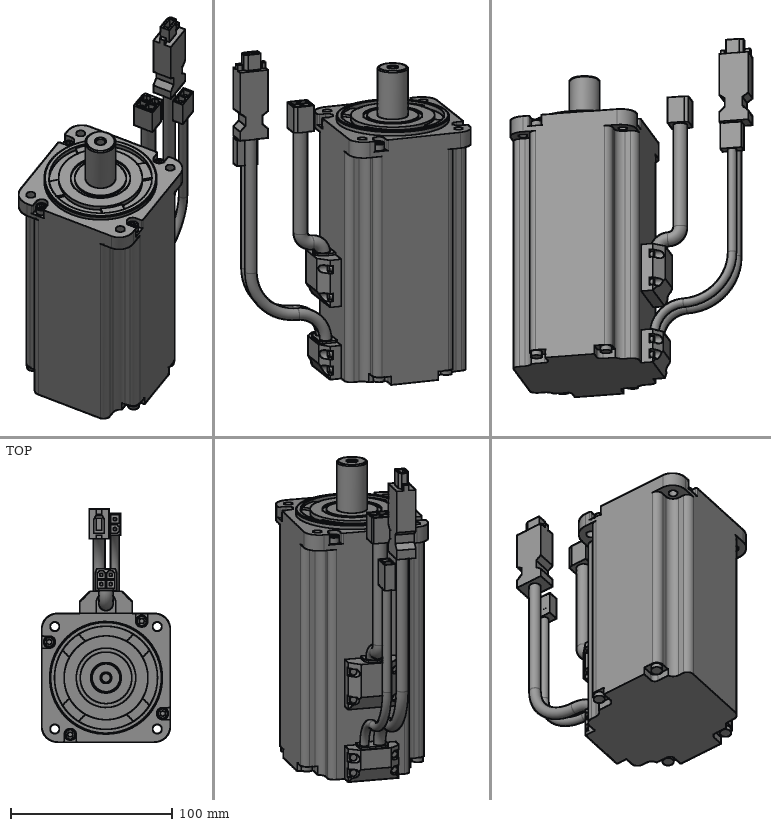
import cadquery as cq
import math

total_height = 213.5
side = 80.0
half = side / 2
flange_bottom = 149.0
flange_top = 159.3
flange_corner_radius = 10.0
mount_hole_offset = 31.8
mount_hole_diameter = 5.5

notch_wall = 26.5
notch_mouth_radius = 4.5
notch_root_radius = 5.5

pilot_diameter = 70.0
pilot_top = 162.3
pilot_chamfer = 0.6
groove_outer_diameter = 64.0
groove_inner_diameter = 52.0
bridge_drop = 1.5
bridge_width = 14.0
seal_outer_diameter = 37.0
seal_inner_diameter = 32.0
seal_depth = 1.0

shaft_diameter = 19.0
shaft_top = 193.5
shaft_chamfer = 0.9
shaft_hole_diameter = 5.5
shaft_hole_mouth_diameter = 7.0
shaft_hole_depth = 20.0

screw_head_diameter = 7.0
screw_head_height = 4.5
screw_head_chamfer = 0.6
screw_socket_size = 3.5
screw_socket_depth = 2.0
screw_near_axis = 22.2
screw_far_axis = 35.2
flange_pocket_width = 7.5
flange_pocket_flare = 0.9
flange_pocket_depth = 6.8
cover_pocket_height = 5.5
cover_pocket_inner_x = 30.0
cover_pocket_inner_y = 15.5
cover_pocket_radius = 3.0
cover_head_height = 3.2
cover_screw_x = 35.9

outlet_half_width = 16.5
outlet_slant_start = 47.5
outlet_flat_half_width = 9.8
outlet_floor = 45.3
outlet_screw_x = 13.0
outlet_screw_diameter = 4.5
outlet_screw_height = 2.1
gland_height = 1.3

connector_bottom = 159.3
power_y = 61.0
power_width = 13.2
power_depth = 13.2
power_height = 16.7
power_slant_x = 0.9
power_slant_y = 2.3
signal_y = 95.5
encoder_x = -4.3
encoder_width = 12.4
encoder_back = 104.8
encoder_front = 86.3
brake_x = 5.5
brake_width = 7.0
brake_depth = 13.7
brake_bottom = 139.0
brake_height = 16.7
power_cavity_size = 5.0
power_cavity_pitch = 5.8
brake_cavity_size = 5.3
brake_cavity_pitch = 6.2
cavity_depth = 10.7
cavity_corner = 1.3
pin_diameter = 2.0
pin_height = 8.5


def box(x_range, y_range, z_range):
    """Block between two limits along each axis."""
    limits = (x_range, y_range, z_range)
    size = [high - low for low, high in limits]
    corner = [low for low, high in limits]
    return cq.Workplane("XY").box(*size, centered=False).translate(tuple(corner))


def cylinder(diameter, bottom, top, x=0, y=0):
    """Vertical cylinder between two heights."""
    return cq.Workplane("XY", origin=(x, y, bottom)).circle(diameter / 2).extrude(top - bottom)


def ring(outer_diameter, inner_diameter, bottom, top):
    """Ring around the motor axis."""
    plane = cq.Workplane("XY", origin=(0, 0, bottom))
    return plane.circle(outer_diameter / 2).circle(inner_diameter / 2).extrude(top - bottom)


def fillet_vertical_edges(part, axis_distance, radius):
    """Round the vertical edges that lie at one distance from the motor axis."""
    tolerance = 0.02
    edges = []
    for edge in part.edges("|Z").vals():
        center = edge.Center()
        if abs(math.hypot(center.x, center.y) - axis_distance) < tolerance:
            edges.append(edge)
    return part.newObject(edges).fillet(radius)


def make_body():
    body = box((-half, half), (-half, half), (0, flange_bottom))
    for sx in (-1, 1):
        for sy in (-1, 1):
            x_range = sorted((sx * notch_wall, sx * side))
            y_range = sorted((sy * notch_wall, sy * side))
            body = body.cut(box(x_range, y_range, (0, flange_bottom)))
    mouth_distance = math.hypot(half, notch_wall)
    root_distance = math.hypot(notch_wall, notch_wall)
    body = fillet_vertical_edges(body, mouth_distance, notch_mouth_radius)
    body = fillet_vertical_edges(body, root_distance, notch_root_radius)
    return body


def make_flange():
    flange = box((-half, half), (-half, half), (flange_bottom, flange_top))
    flange = flange.edges("|Z").fillet(flange_corner_radius)
    spacing = 2 * mount_hole_offset
    hole_centers = flange.faces(">Z").workplane().rect(spacing, spacing, forConstruction=True).vertices()
    return hole_centers.hole(mount_hole_diameter)


def make_pilot():
    pilot = cylinder(pilot_diameter, flange_top, pilot_top).faces(">Z").edges().chamfer(pilot_chamfer)
    pilot = pilot.cut(ring(groove_outer_diameter, groove_inner_diameter, flange_top, pilot_top))
    bridge_ring = ring(groove_outer_diameter, groove_inner_diameter, flange_top, pilot_top - bridge_drop)
    strip = box((0, pilot_diameter), (-bridge_width / 2, bridge_width / 2), (flange_top, pilot_top))
    for angle in (45, 135, 225, 315):
        pilot = pilot.union(bridge_ring.intersect(strip.rotate((0, 0, 0), (0, 0, 1), angle)))
    return pilot.cut(ring(seal_outer_diameter, seal_inner_diameter, pilot_top - seal_depth, pilot_top))


def make_shaft():
    shaft = cylinder(shaft_diameter, flange_top, shaft_top).faces(">Z").edges().chamfer(shaft_chamfer)
    countersink_angle = 90
    return shaft.faces(">Z").workplane().cskHole(
        shaft_hole_diameter, shaft_hole_mouth_diameter, countersink_angle, shaft_hole_depth
    )


def add_flange_screws(part):
    """One open-sided pocket with a socket-head screw on each side of the flange."""
    floor = flange_top - flange_pocket_depth
    radius = flange_pocket_width / 2
    flare = flange_pocket_flare
    pocket = (
        cq.Workplane("XY", origin=(screw_near_axis, 0, floor))
        .moveTo(radius, screw_far_axis)
        .lineTo(radius, half - flare)
        .radiusArc((radius + flare, half), flare)
        .lineTo(-radius - flare, half)
        .radiusArc((-radius, half - flare), flare)
        .lineTo(-radius, screw_far_axis)
        .threePointArc((0, screw_far_axis - radius), (radius, screw_far_axis))
        .close()
        .extrude(flange_pocket_depth)
    )
    head_top = floor + screw_head_height
    head = cylinder(screw_head_diameter, floor, head_top, screw_near_axis, screw_far_axis)
    head = head.faces(">Z").edges().chamfer(screw_head_chamfer)
    socket = (
        cq.Workplane("XY", origin=(screw_near_axis, screw_far_axis, head_top))
        .polygon(6, screw_socket_size)
        .extrude(-screw_socket_depth)
    )
    head = head.cut(socket)
    for angle in (0, 90, 180, 270):
        part = part.cut(pocket.rotate((0, 0, 0), (0, 0, 1), angle))
        part = part.union(head.rotate((0, 0, 0), (0, 0, 1), angle))
    return part


def add_cover_screws(part):
    """Pockets at the foot of the body, open to the side and to the corner notch."""
    pocket = box((cover_pocket_inner_x, side), (cover_pocket_inner_y, side), (0, cover_pocket_height))
    pocket = pocket.edges("|Z and <X and <Y").fillet(cover_pocket_radius)
    head_bottom = cover_pocket_height - cover_head_height
    head = cylinder(screw_head_diameter, head_bottom, cover_pocket_height, cover_screw_x, screw_near_axis)
    for mirror_x in (False, True):
        for mirror_y in (False, True):
            corner_pocket = pocket
            corner_head = head
            if mirror_x:
                corner_pocket = corner_pocket.mirror("YZ")
                corner_head = corner_head.mirror("YZ")
            if mirror_y:
                corner_pocket = corner_pocket.mirror("XZ")
                corner_head = corner_head.mirror("XZ")
            part = part.cut(corner_pocket).union(corner_head)
    return part


def make_outlet(bottom, top, back, bevel_height, screw_heights, pocket_diameter):
    """Cable outlet box with slanted sides, a bevelled underside and recessed screws."""
    outlet = (
        cq.Workplane("XY", origin=(0, 0, bottom))
        .polyline(
            [
                (-outlet_half_width, half),
                (outlet_half_width, half),
                (outlet_half_width, outlet_slant_start),
                (outlet_flat_half_width, back),
                (-outlet_flat_half_width, back),
                (-outlet_half_width, outlet_slant_start),
            ]
        )
        .close()
        .extrude(top - bottom)
    )
    bevel = (
        cq.Workplane("YZ")
        .polyline([(outlet_slant_start, bottom), (back, bottom + bevel_height), (back, bottom)])
        .close()
        .extrude(outlet_half_width, both=True)
    )
    outlet = outlet.cut(bevel)
    radius = pocket_diameter / 2
    for sx in (-1, 1):
        for height in screw_heights:
            seat = cq.Workplane("XZ", origin=(sx * outlet_screw_x, outlet_floor, height))
            pocket = seat.circle(radius).extrude(-(back - outlet_floor))
            x_range = sorted((sx * outlet_screw_x, sx * side))
            slot = box(x_range, (outlet_floor, back), (height - radius, height + radius))
            head = seat.circle(outlet_screw_diameter / 2).extrude(-outlet_screw_height)
            outlet = outlet.cut(pocket).cut(slot).union(head)
    return outlet


def make_gland(half_width, back, bottom, corner_radius):
    """Thin pad on top of an outlet box, rounded at its +Y end."""
    pad = box((-half_width, half_width), (half, back), (bottom, bottom + gland_height))
    return pad.edges("|Z and >Y").fillet(corner_radius)


def make_cable(x, diameter, y_top, z_top, z_bend, upper_radius, lower_radius):
    """Straight drop from a connector, then an S-bend down into the outlet box."""
    diagonal = math.sqrt(0.5)
    middle_y = y_top - upper_radius
    middle_z = z_bend - upper_radius
    end_y = middle_y - lower_radius
    end_z = middle_z - lower_radius
    path = (
        cq.Workplane("YZ", origin=(x, 0, 0))
        .moveTo(y_top, z_top)
        .lineTo(y_top, z_bend)
        .threePointArc(
            (middle_y + upper_radius * diagonal, z_bend - upper_radius * diagonal), (middle_y, middle_z)
        )
        .threePointArc((middle_y - lower_radius * diagonal, end_z + lower_radius * diagonal), (end_y, end_z))
    )
    return cq.Workplane("XY", origin=(x, y_top, z_top)).circle(diameter / 2).sweep(path)


def cut_cavity(part, x, y, top, size, slanted_edges):
    """Square contact cavity with a round pin on its floor; some corners are slanted."""
    floor = top - cavity_depth
    reach = size / 2
    cavity = box((x - reach, x + reach), (y - reach, y + reach), (floor, top))
    if slanted_edges:
        cavity = cavity.edges(slanted_edges).chamfer(cavity_corner)
    return part.cut(cavity).union(cylinder(pin_diameter, floor, floor + pin_height, x, y))


def make_power_connector():
    top = connector_bottom + power_height
    back = power_y + power_depth / 2
    reach = power_width / 2
    shell = (
        cq.Workplane("XY", origin=(0, 0, connector_bottom))
        .polyline(
            [
                (-reach, back - power_depth),
                (reach, back - power_depth),
                (reach, back - power_slant_y),
                (reach - power_slant_x, back),
                (power_slant_x - reach, back),
                (-reach, back - power_slant_y),
            ]
        )
        .close()
        .extrude(power_height)
    )
    for sx in (-1, 1):
        for sy, slanted_edges in ((-1, None), (1, "|Z and >Y")):
            x = sx * power_cavity_pitch / 2
            y = power_y + sy * power_cavity_pitch / 2
            shell = cut_cavity(shell, x, y, top, power_cavity_size, slanted_edges)
    return shell


def make_brake_connector():
    top = brake_bottom + brake_height
    shell = box(
        (brake_x - brake_width / 2, brake_x + brake_width / 2),
        (signal_y - brake_depth / 2, signal_y + brake_depth / 2),
        (brake_bottom, top),
    )
    for sy, slanted_edges in ((-1, "|Z and >X"), (1, None)):
        y = signal_y + sy * brake_cavity_pitch / 2
        shell = cut_cavity(shell, brake_x, y, top, brake_cavity_size, slanted_edges)
    return shell


def make_encoder_connector():
    foot_top = 165.2
    waist_bottom = 168.7
    waist_top = 174.2
    head_bottom = 176.8
    housing_top = 203.5
    waist_depth = 3.6
    outline = [
        (encoder_front, connector_bottom),
        (encoder_front, foot_top),
        (encoder_front + waist_depth, waist_bottom),
        (encoder_front + waist_depth, waist_top),
        (encoder_front, head_bottom),
        (encoder_front, housing_top),
        (encoder_back, housing_top),
        (encoder_back, head_bottom),
        (encoder_back - waist_depth, waist_top),
        (encoder_back - waist_depth, waist_bottom),
        (encoder_back, foot_top),
        (encoder_back, connector_bottom),
    ]
    connector = (
        cq.Workplane("YZ", origin=(encoder_x, 0, 0))
        .polyline(outline)
        .close()
        .extrude(encoder_width / 2, both=True)
    )
    tab_top = 207.0
    tab_half_width = 1.7
    tab_x = (encoder_x - tab_half_width, encoder_x + tab_half_width)
    back_tab_thickness = 3.2
    front_tab_thickness = 2.3
    back_tab_y = (encoder_back - back_tab_thickness, encoder_back)
    front_tab_y = (encoder_front, encoder_front + front_tab_thickness)
    for tab_y in (back_tab_y, front_tab_y):
        connector = connector.union(box(tab_x, tab_y, (housing_top, tab_top)))
    tongue_front = 89.9
    tongue_back = 100.8
    tongue_half_width = 3.2
    tongue_tip_half_width = 2.0
    tongue_taper = 2.3
    tongue_height = total_height - housing_top
    tongue = (
        cq.Workplane("XY", origin=(encoder_x, 0, housing_top))
        .polyline(
            [
                (-tongue_half_width, tongue_front),
                (tongue_half_width, tongue_front),
                (tongue_half_width, tongue_back - tongue_taper),
                (tongue_tip_half_width, tongue_back),
                (-tongue_tip_half_width, tongue_back),
                (-tongue_half_width, tongue_back - tongue_taper),
            ]
        )
        .close()
        .extrude(tongue_height)
    )
    slot_margin = 1.7
    slot_depth = 6.5
    slot_y = (tongue_front + slot_margin, tongue_back - slot_margin)
    slot = box(tab_x, slot_y, (total_height - slot_depth, total_height))
    return connector.union(tongue.cut(slot))


motor = make_body().union(make_flange()).union(make_pilot()).union(make_shaft())
motor = add_flange_screws(motor)
motor = add_cover_screws(motor)

power_outlet_top = 77.5
power_outlet = make_outlet(
    bottom=47.0,
    top=power_outlet_top,
    back=53.8,
    bevel_height=9.2,
    screw_heights=(53.2, 71.3),
    pocket_diameter=5.0,
)
power_gland = make_gland(half_width=6.2, back=52.3, bottom=power_outlet_top, corner_radius=6.0)

signal_outlet_top = 21.5
signal_outlet = make_outlet(
    bottom=0,
    top=signal_outlet_top,
    back=52.5,
    bevel_height=9.0,
    screw_heights=(5.8, 15.8),
    pocket_diameter=5.5,
)
signal_gland = make_gland(half_width=9.5, back=51.2, bottom=signal_outlet_top, corner_radius=4.0)

power_cable = make_cable(
    x=0,
    diameter=9.0,
    y_top=power_y,
    z_top=connector_bottom,
    z_bend=92.5,
    upper_radius=7.3,
    lower_radius=7.7,
)
signal_bends = {"z_bend": 71.7, "upper_radius": 30.7, "lower_radius": 18.8}
encoder_cable = make_cable(
    x=encoder_x, diameter=7.5, y_top=signal_y, z_top=connector_bottom, **signal_bends
)
brake_cable = make_cable(x=brake_x, diameter=5.5, y_top=signal_y, z_top=brake_bottom, **signal_bends)

result = motor
for piece in (
    power_outlet,
    power_gland,
    signal_outlet,
    signal_gland,
    power_cable,
    encoder_cable,
    brake_cable,
    make_power_connector(),
    make_encoder_connector(),
    make_brake_connector(),
):
    result = result.union(piece)